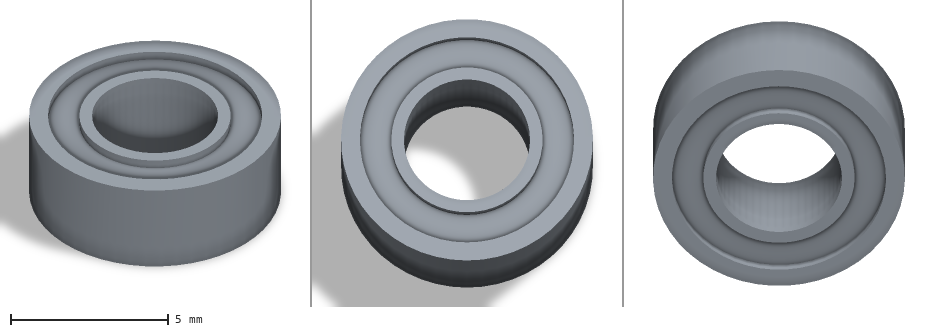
import cadquery as cq

outer_diameter = 8.0
bore_diameter = outer_diameter / 2
inner_ring_diameter = 4.8
outer_ring_diameter = 6.8
width = 3.0
shield_recess = width / 10


def ring(outside, inside, height, base):
    """Plain ring about Z whose lower face lies at the given height."""
    return (
        cq.Workplane("XY")
        .workplane(offset=base)
        .circle(outside / 2)
        .circle(inside / 2)
        .extrude(height)
    )


bottom = -width / 2
top = width / 2

result = ring(outer_diameter, bore_diameter, width, bottom)

for recess_base in (bottom, top - shield_recess):
    result = result.cut(ring(outer_ring_diameter, inner_ring_diameter, shield_recess, recess_base))